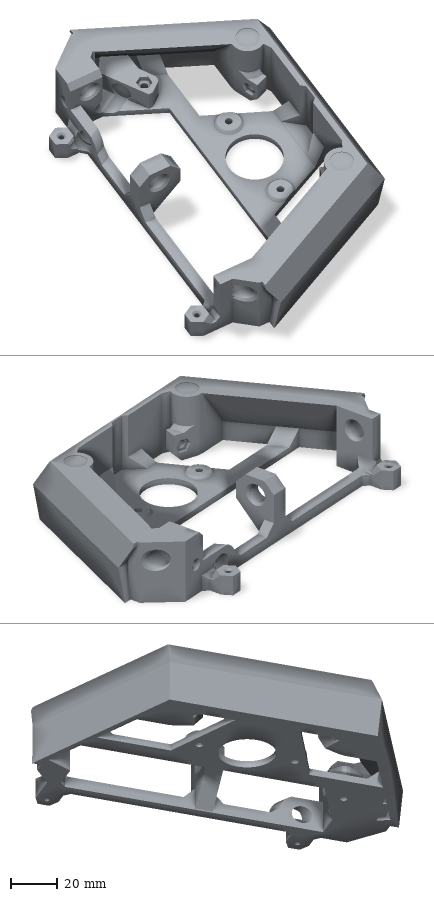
import cadquery as cq
import math

HEIGHT = 30.0
OVERLAP = 1.7
RIDGE_Z = 16.8
RIDGE_HALF_WIDTH = 85.0
RIDGE_BACK_Y = 96.6
RIDGE_FRONT_Y = 23.0
RIDGE_BACK_HALF_WIDTH = 48.7
TOP_SHIFT_Y = 7.7
TOP_INSET_X = 1.9
BOTTOM_SHIFT_Y = 2.9
BOTTOM_INSET_X = 0.9
ARM_END_Y = 16.5
ARM_ANGLE = math.atan2(RIDGE_HALF_WIDTH - RIDGE_BACK_HALF_WIDTH, RIDGE_BACK_Y - RIDGE_FRONT_Y)

BACK_WALL_Y = 86.0
BACK_WALL_END = (30.0, BACK_WALL_Y)
BACK_BEVEL_END = (33.7, 84.2)
CORNER_WALL_Y = 72.3
ARM_INNER_X = 40.3
ARM_INNER_FRONT_Y = 19.4
INNER_BEVEL = 0.9
LEFT_ARM_FRONT_Y = 21.8
LEFT_POCKET_CORNER = (-67.4, 18.7)
LEFT_POCKET_X = -65.0
UNDERCUT_DEPTH = 13.3
UNDERCUT_Z = 9.4
RAMP_TOP_Z = 9.4

BLOCK_SIDE_X = 80.1
BLOCK_SIDE_Y = 15.1
BLOCK_SIDE_BACK_Y = 21.3
BLOCK_BACK_X = 78.3
BLOCK_BACK_Y = 23.8
LEFT_BLOCK_INNER_X = -54.8
LEFT_BLOCK_BACK_Y = 16.2
LEFT_BLOCK_OUTER_X = -67.5
LEFT_BLOCK_CHAMFER = 2.7
RIGHT_BLOCK_INNER_X = 66.5
RIGHT_BLOCK_OUTER_X = 72.3
RIGHT_BLOCK_OUTER_Y = 6.3
RAIL_DEPTH = 5.1
RAIL_Z = 5.3

BOSS_X = 40.0
BOSS_Y = 80.1
BOSS_RADIUS = 7.7
BOSS_DISC_RADIUS = 5.3
BOSS_DISC_DEPTH = 0.3
NUB_ANGLE = 20.7
NUB_REACH = 11.5
NUB_SIDE_NEAR = 1.2
NUB_SIDE_FAR = BOSS_RADIUS
NUB_Z = 13.5
NUB_CHAMFER = 3.9
NUB_COLLAR = 2.0
NUB_HOLE_REACH = 6.8
NUB_HOLE_Z = 7.1
NUB_HOLE_RADIUS = 2.0
NUB_NUT_RADIUS = 3.5
NUB_NUT_DEPTH = 1.7

PLATE_Z = 3.0
CROSSBAR_FRONT_Y = 42.2
CROSSBAR_BACK_Y = 51.2
PLATE_BACK_HALF_WIDTH = 15.0
PLATE_FRONT_HALF_WIDTH = 31.8
PLATE_HOLE_Y = 60.0
PLATE_HOLE_RADIUS = 12.6
SCREW_X = 22.0
SCREW_BOSS_RADIUS = 5.3
SCREW_BOSS_HEIGHT = 1.2
SCREW_HOLE_RADIUS = 1.7
NOTCH_BACK_Y = 88.1
NOTCH_BACK_HALF_WIDTH = 3.7
NOTCH_FRONT_Y = 80.0
NOTCH_FRONT_HALF_WIDTH = 11.0

POST_HALF_WIDTH = 4.0
POST_DEPTH = 20.4
POST_TOP_Z = 29.3
POST_CHAMFER = 5.1
POST_UNDERSIDE_Z = 15.8
POST_GUSSET = 5.1
ROD_Y = 9.9
ROD_Z = 21.0
ROD_RADIUS = 4.3
ROD_CHAMFER = 1.0

SLANT_ANGLE = 30.0
SLANT_X = -42.2
SLANT_Z = 6.8
SLANT_RADIUS = 4.0
SLANT_LEAD = 10.2
SLANT_RIM_RADIUS = 5.1
SLANT_RIM_DEPTH = 2.5
SLANT_GROOVE_RADIUS = 4.8
SLANT_LUG_RADIUS = 9.0
SLANT_LUG_Z = 14.8
SLANT_LUG_END_Z = 8.3
SLANT_LUG_RUN_OUT = 12.5
SLANT_PAD_DISTANCE = 32.8

PAD_Z = 13.0
PAD_FRONT_X = -68.0
PAD_OUTLINE = [
    (-46.3, 34.4), (-46.5, 36.4), (-50.4, 41.5), (-52.0, 42.2), (-53.8, 41.8), (-61.2, 37.8),
    (-74.0, 37.8), (-75.7, 27.2),
]
PAD_HOLE_X = -53.0
PAD_HOLE_Y = 36.0
PAD_HOLE_RADIUS = 1.7
PAD_NUT_RADIUS = 3.5
PAD_NUT_DEPTH = 2.5
GUSSET_ROOT_X = -73.1
GUSSET_BACK_X = -69.7
GUSSET_X = -42.0

PILOT_X = -59.9
PILOT_Z = 15.0
PILOT_RADIUS = 1.62
PILOT_RIM = 1.28

LUG_APOTHEM = 4.6
LUG_HALF_WIDTH = 5.3
LUG_FRONT_Y = -13.1
LUG_Y = LUG_FRONT_Y + LUG_APOTHEM
LEFT_LUG_X = -48.0
RIGHT_LUG_X = RIGHT_BLOCK_OUTER_X - LUG_HALF_WIDTH
LUG_TOP_Z = 9.5
LUG_NECK_Z = 5.8
LUG_SKIRT = 2.0
LUG_FLARE = 2.5
LUG_WEDGE = 2.0
LUG_HOLE_RADIUS = 1.2
LUG_HOLE_RIM = 0.9
FILLET_BACK_Y = 8.0
FILLET_RADIUS = 4.6


def prism(points, z_low, z_high):
    return cq.Workplane("XY").workplane(offset=z_low).polyline(points).close().extrude(z_high - z_low)


def cylinder(x, y, radius, z_low, z_high):
    return cq.Workplane("XY").workplane(offset=z_low).center(x, y).circle(radius).extrude(z_high - z_low)


def box(x_low, x_high, y_low, y_high, z_low, z_high):
    size = (x_high - x_low, y_high - y_low, z_high - z_low)
    return cq.Workplane("XY").box(*size, centered=False).translate((x_low, y_low, z_low))


def rod(plane, radius, length, end_radius=None):
    start = cq.Workplane(plane).circle(radius)
    if end_radius is None:
        return start.extrude(length)
    return start.workplane(offset=length).circle(end_radius).loft(ruled=True)


def mirror_x(shape):
    return shape.mirror("YZ")


def arm_x(start_x, start_y, y):
    """X, on the right arm, of a line through the start point and parallel to the arm."""
    return start_x + (start_y - y) * math.tan(ARM_ANGLE)


def outline(shift_y, inset_x):
    """The widest outline, moved forward by shift_y with its sides drawn in by inset_x."""
    back = RIDGE_BACK_HALF_WIDTH - inset_x
    front = RIDGE_HALF_WIDTH - inset_x
    back_y = RIDGE_BACK_Y - shift_y
    front_y = RIDGE_FRONT_Y - shift_y
    return [(-back, back_y), (back, back_y), (front, front_y), (-front, front_y)]


def frame_half(z, shift_y, inset_x):
    """Half of the ridged frame, from the ridge up or down to height z."""
    ridge = cq.Workplane("XY").workplane(offset=RIDGE_Z).polyline(outline(0, 0)).close()
    far = ridge.workplane(offset=z - RIDGE_Z).polyline(outline(shift_y, inset_x)).close()
    return far.loft(ruled=True)


def outer_frame():
    arms = box(-RIDGE_HALF_WIDTH, RIDGE_HALF_WIDTH, ARM_END_Y, RIDGE_BACK_Y, 0, HEIGHT)
    left_block = [
        (-BLOCK_SIDE_X, BLOCK_SIDE_Y), (LEFT_BLOCK_OUTER_X, 0), (LEFT_BLOCK_INNER_X, 0),
        (LEFT_BLOCK_INNER_X, BLOCK_BACK_Y), (-BLOCK_BACK_X, BLOCK_BACK_Y), (-BLOCK_SIDE_X, BLOCK_SIDE_BACK_Y),
    ]
    right_block = [
        (BLOCK_SIDE_X, BLOCK_SIDE_Y), (RIGHT_BLOCK_OUTER_X, RIGHT_BLOCK_OUTER_Y), (RIGHT_BLOCK_OUTER_X, 0),
        (RIGHT_BLOCK_INNER_X, 0), (RIGHT_BLOCK_INNER_X, BLOCK_BACK_Y), (BLOCK_BACK_X, BLOCK_BACK_Y),
        (BLOCK_SIDE_X, BLOCK_SIDE_BACK_Y),
    ]
    blocks = prism(left_block, 0, HEIGHT).union(prism(right_block, 0, HEIGHT))
    upper = frame_half(HEIGHT, TOP_SHIFT_Y, TOP_INSET_X)
    lower = frame_half(0, BOTTOM_SHIFT_Y, BOTTOM_INSET_X)
    return upper.union(lower).intersect(arms).union(blocks)


def opening():
    back_corner = [BACK_WALL_END, BACK_BEVEL_END, (BOSS_X, BOSS_Y), (ARM_INNER_X, CORNER_WALL_Y)]
    right = back_corner + [
        (arm_x(ARM_INNER_X, CORNER_WALL_Y, ARM_INNER_FRONT_Y), ARM_INNER_FRONT_Y),
        (RIGHT_BLOCK_INNER_X, ARM_INNER_FRONT_Y - INNER_BEVEL),
        (RIGHT_BLOCK_INNER_X, 0),
    ]
    left = [
        (LEFT_BLOCK_INNER_X, 0), (LEFT_BLOCK_INNER_X, LEFT_BLOCK_BACK_Y),
        (LEFT_POCKET_X, LEFT_BLOCK_BACK_Y), LEFT_POCKET_CORNER,
        (-arm_x(ARM_INNER_X, CORNER_WALL_Y, LEFT_ARM_FRONT_Y), LEFT_ARM_FRONT_Y),
    ]
    left += [(-x, y) for x, y in reversed(back_corner)]
    return prism(right + left, 0, HEIGHT)


def along_right_arm(profile):
    """Extrudes a profile of (distance outward from the inner top edge, z) along the right arm.

    It starts behind the corner wall and ends square to the arm at the arm's inner front corner.
    """
    outward = (math.cos(ARM_ANGLE), math.sin(ARM_ANGLE), 0)
    forward = (math.sin(ARM_ANGLE), -math.cos(ARM_ANGLE), 0)
    length = (CORNER_WALL_Y - ARM_INNER_FRONT_Y) / math.cos(ARM_ANGLE)
    lead = UNDERCUT_DEPTH
    start = (ARM_INNER_X - lead * forward[0], CORNER_WALL_Y - lead * forward[1], 0)
    plane = cq.Plane(origin=start, xDir=outward, normal=forward)
    return cq.Workplane(plane).polyline(profile).close().extrude(length + lead)


def arm_undercut():
    profile = [
        (0, HEIGHT), (UNDERCUT_DEPTH, UNDERCUT_Z), (UNDERCUT_DEPTH, 0), (-OVERLAP, 0), (-OVERLAP, HEIGHT),
    ]
    return along_right_arm(profile).intersect(box(0, RIDGE_HALF_WIDTH, 0, CORNER_WALL_Y, 0, HEIGHT))


def arm_ramp():
    run = RAMP_TOP_Z - PLATE_Z
    profile = [
        (UNDERCUT_DEPTH - run, 0), (UNDERCUT_DEPTH - run, PLATE_Z),
        (UNDERCUT_DEPTH, RAMP_TOP_Z), (UNDERCUT_DEPTH + OVERLAP, RAMP_TOP_Z), (UNDERCUT_DEPTH + OVERLAP, 0),
    ]
    span = box(0, RIDGE_HALF_WIDTH, CROSSBAR_FRONT_Y, CROSSBAR_BACK_Y, 0, HEIGHT)
    return along_right_arm(profile).intersect(span)


def corner_boss():
    return cylinder(BOSS_X, BOSS_Y, BOSS_RADIUS, 0, HEIGHT)


def nub_direction():
    angle = math.radians(180 - NUB_ANGLE)
    return math.cos(angle), math.sin(angle)


def nub_plane(side):
    """Plane across the nub: local x along its reach, local y up, set off sideways to the front."""
    dx, dy = nub_direction()
    origin = (BOSS_X - side * dy, BOSS_Y + side * dx, 0)
    return cq.Plane(origin=origin, xDir=(dx, dy, 0), normal=(dy, -dx, 0))


def nub():
    width = NUB_SIDE_FAR - NUB_SIDE_NEAR
    profile = [
        (0, 0), (NUB_REACH - NUB_CHAMFER, 0), (NUB_REACH, NUB_CHAMFER), (NUB_REACH, HEIGHT), (0, HEIGHT),
    ]
    block = cq.Workplane(nub_plane(NUB_SIDE_FAR)).polyline(profile).close().extrude(width)
    low = block.intersect(box(0, RIDGE_HALF_WIDTH, 0, RIDGE_BACK_Y, 0, NUB_Z))
    collar_plane = cq.Plane(origin=(BOSS_X, BOSS_Y, NUB_Z))
    collar = rod(collar_plane, BOSS_RADIUS + NUB_COLLAR, NUB_COLLAR, BOSS_RADIUS)
    return low.union(collar.intersect(block))


def nub_hole():
    face = cq.Workplane(nub_plane(NUB_SIDE_FAR)).center(NUB_HOLE_REACH, NUB_HOLE_Z)
    hole = face.circle(NUB_HOLE_RADIUS).extrude(NUB_SIDE_FAR)
    return hole.union(face.polygon(6, 2 * NUB_NUT_RADIUS).extrude(NUB_NUT_DEPTH))


def plate():
    trapezoid = [
        (-PLATE_BACK_HALF_WIDTH, BACK_WALL_Y), (PLATE_BACK_HALF_WIDTH, BACK_WALL_Y),
        (PLATE_FRONT_HALF_WIDTH, CROSSBAR_BACK_Y), (PLATE_FRONT_HALF_WIDTH, CROSSBAR_FRONT_Y),
        (-PLATE_FRONT_HALF_WIDTH, CROSSBAR_FRONT_Y), (-PLATE_FRONT_HALF_WIDTH, CROSSBAR_BACK_Y),
    ]
    slab = prism(trapezoid, 0, PLATE_Z)
    bar_end = arm_x(ARM_INNER_X, CORNER_WALL_Y, CROSSBAR_BACK_Y) + UNDERCUT_DEPTH
    slab = slab.union(box(-bar_end, bar_end, CROSSBAR_FRONT_Y, CROSSBAR_BACK_Y, 0, PLATE_Z))
    ramp_profile = [
        (BACK_WALL_Y, 0), (BACK_WALL_Y, RAMP_TOP_Z),
        (BACK_WALL_Y - (RAMP_TOP_Z - PLATE_Z), PLATE_Z), (BACK_WALL_Y - RAMP_TOP_Z, 0),
    ]
    ramp = cq.Workplane("YZ").polyline(ramp_profile).close().extrude(PLATE_FRONT_HALF_WIDTH, both=True)
    slab = slab.union(ramp.intersect(prism(trapezoid, 0, RAMP_TOP_Z)))
    for x in (-SCREW_X, SCREW_X):
        plane = cq.Plane(origin=(x, PLATE_HOLE_Y, PLATE_Z))
        base_radius = SCREW_BOSS_RADIUS + SCREW_BOSS_HEIGHT
        boss = rod(plane, base_radius, SCREW_BOSS_HEIGHT, SCREW_BOSS_RADIUS)
        slab = slab.union(boss.intersect(prism(trapezoid, 0, HEIGHT)))
        slab = slab.cut(cylinder(x, PLATE_HOLE_Y, SCREW_HOLE_RADIUS, 0, HEIGHT))
    return slab.cut(cylinder(0, PLATE_HOLE_Y, PLATE_HOLE_RADIUS, 0, HEIGHT))


def wall_notch():
    points = [
        (-NOTCH_BACK_HALF_WIDTH, NOTCH_BACK_Y), (NOTCH_BACK_HALF_WIDTH, NOTCH_BACK_Y),
        (NOTCH_FRONT_HALF_WIDTH, NOTCH_FRONT_Y), (-NOTCH_FRONT_HALF_WIDTH, NOTCH_FRONT_Y),
    ]
    return prism(points, PLATE_Z, HEIGHT)


def rail():
    return box(LEFT_BLOCK_INNER_X, RIGHT_BLOCK_INNER_X, 0, RAIL_DEPTH, 0, RAIL_Z)


def middle_post():
    profile = [
        (0, 0), (0, POST_TOP_Z - POST_CHAMFER), (POST_CHAMFER, POST_TOP_Z),
        (POST_DEPTH - POST_CHAMFER, POST_TOP_Z), (POST_DEPTH, POST_TOP_Z - POST_CHAMFER),
        (POST_DEPTH, POST_UNDERSIDE_Z), (POST_DEPTH - POST_UNDERSIDE_Z, 0),
    ]
    post = cq.Workplane("YZ").polyline(profile).close().extrude(POST_HALF_WIDTH, both=True)
    foot = POST_HALF_WIDTH + POST_GUSSET
    gusset_profile = [
        (-foot, 0), (foot, 0), (foot, RAIL_Z), (POST_HALF_WIDTH, RAIL_Z + POST_GUSSET),
        (-POST_HALF_WIDTH, RAIL_Z + POST_GUSSET), (-foot, RAIL_Z),
    ]
    gusset = cq.Workplane("XZ").polyline(gusset_profile).close().extrude(-RAIL_DEPTH)
    return post.union(gusset)


def slant_plane(distance, z):
    """Plane square to the slanted screw, its normal pointing inward along the screw."""
    angle = math.radians(SLANT_ANGLE)
    inward = (-math.sin(angle), math.cos(angle), 0)
    origin = (SLANT_X + distance * inward[0], distance * inward[1], z)
    return cq.Plane(origin=origin, xDir=(-math.cos(angle), -math.sin(angle), 0), normal=inward)


def lug_rim_point(z):
    """Point at height z on the slanted lug's rounded end."""
    return -math.sqrt(SLANT_LUG_RADIUS**2 - (z - SLANT_Z)**2), z


def slant_lug():
    lug_body = (
        cq.Workplane(slant_plane(-SLANT_PAD_DISTANCE, 0))
        .moveTo(SLANT_PAD_DISTANCE, 0).lineTo(SLANT_PAD_DISTANCE, SLANT_LUG_Z)
        .lineTo(*lug_rim_point(SLANT_LUG_Z))
        .threePointArc(lug_rim_point(SLANT_Z + SLANT_LUG_RADIUS / 2), lug_rim_point(SLANT_LUG_END_Z))
        .lineTo(-SLANT_LUG_RUN_OUT, RAIL_Z).lineTo(-SLANT_LUG_RUN_OUT, 0).close()
        .extrude(2 * SLANT_PAD_DISTANCE)
    )
    return lug_body.intersect(box(LEFT_BLOCK_INNER_X, 0, 0, RAIL_DEPTH, 0, HEIGHT))


def slant_bore():
    bore = rod(slant_plane(-SLANT_LEAD, SLANT_Z), SLANT_RADIUS, SLANT_PAD_DISTANCE + SLANT_LEAD)
    groove = rod(slant_plane(SLANT_LEAD, SLANT_Z), SLANT_GROOVE_RADIUS, SLANT_PAD_DISTANCE - SLANT_LEAD)
    rim = rod(slant_plane(-SLANT_RIM_DEPTH, SLANT_Z), SLANT_RIM_RADIUS, 2 * SLANT_RIM_DEPTH)
    return bore.union(groove).union(rim)


def arm_gusset():
    inner_front_x = -arm_x(-GUSSET_X, CROSSBAR_FRONT_Y, LEFT_BLOCK_BACK_Y)
    points = [
        (GUSSET_X, CROSSBAR_FRONT_Y), (inner_front_x, LEFT_BLOCK_BACK_Y), (GUSSET_ROOT_X, LEFT_BLOCK_BACK_Y),
        (GUSSET_ROOT_X, LEFT_ARM_FRONT_Y), (GUSSET_BACK_X, CROSSBAR_FRONT_Y),
    ]
    return prism(points, 0, PLATE_Z)


def arm_pad():
    nose_x, nose_y = PAD_OUTLINE[0]
    front_y = nose_y - math.tan(math.radians(SLANT_ANGLE)) * (nose_x - PAD_FRONT_X)
    points = PAD_OUTLINE + [(PAD_FRONT_X, front_y)]
    pad = prism(points, 0, PAD_Z)
    nut = cq.Workplane("XY").workplane(offset=PAD_Z - PAD_NUT_DEPTH).center(PAD_HOLE_X, PAD_HOLE_Y)
    nut = nut.polygon(6, 2 * PAD_NUT_RADIUS).extrude(PAD_NUT_DEPTH)
    return pad.cut(nut)


def lug(x):
    circumscribed = 2 * LUG_APOTHEM / math.cos(math.pi / 6)
    skirt = LUG_TOP_Z - LUG_NECK_Z
    skirt_size = 2 * (LUG_APOTHEM + LUG_SKIRT) / math.cos(math.pi / 6)
    hexagon = cq.Workplane("XY").center(x, LUG_Y).polygon(6, circumscribed).extrude(LUG_TOP_Z)
    neck_plan = [
        (x - LUG_HALF_WIDTH, LUG_Y), (x + LUG_HALF_WIDTH, LUG_Y),
        (x + LUG_HALF_WIDTH, 0), (x - LUG_HALF_WIDTH, 0),
    ]
    cone = (
        cq.Workplane("XY").workplane(offset=LUG_NECK_Z).center(x, LUG_Y).polygon(6, skirt_size)
        .workplane(offset=skirt).polygon(6, circumscribed).loft(ruled=True)
    )
    neck = prism(neck_plan, 0, LUG_NECK_Z).union(cone.intersect(prism(neck_plan, 0, HEIGHT)))
    return hexagon.union(neck)


def lug_flare(plan):
    """Foot of a lug against the front face, its top sloping down to the neck."""
    top = LUG_NECK_Z + LUG_WEDGE
    profile = [(0, 0), (0, top), (-LUG_WEDGE, LUG_NECK_Z), (-LUG_FLARE, LUG_NECK_Z), (-LUG_FLARE, 0)]
    wedge = cq.Workplane("YZ").polyline(profile).close().extrude(RIDGE_HALF_WIDTH, both=True)
    return wedge.intersect(prism(plan, 0, HEIGHT))


def lug_hole(x):
    rim_radius = LUG_HOLE_RADIUS + LUG_HOLE_RIM
    rim_plane = cq.Plane(origin=(x, LUG_Y, LUG_TOP_Z - LUG_HOLE_RIM))
    rim = rod(rim_plane, LUG_HOLE_RADIUS, LUG_HOLE_RIM, rim_radius)
    return cylinder(x, LUG_Y, LUG_HOLE_RADIUS, 0, LUG_TOP_Z).union(rim)


def rail_fillet():
    low_x = RIGHT_BLOCK_INNER_X - FILLET_RADIUS
    high_z = RAIL_Z + FILLET_RADIUS
    diagonal = FILLET_RADIUS * math.sqrt(0.5)
    profile = (
        cq.Workplane("XZ").moveTo(low_x, 0).lineTo(low_x, RAIL_Z)
        .threePointArc((low_x + diagonal, high_z - diagonal), (RIGHT_BLOCK_INNER_X, high_z))
        .lineTo(RIGHT_BLOCK_INNER_X, 0).close()
    )
    plan = [
        (low_x, -LUG_WEDGE), (RIGHT_BLOCK_INNER_X, -LUG_WEDGE), (RIGHT_BLOCK_INNER_X, FILLET_BACK_Y),
        (RIGHT_BLOCK_INNER_X - (FILLET_BACK_Y - RAIL_DEPTH), RAIL_DEPTH), (low_x, RAIL_DEPTH),
    ]
    return profile.extrude(LUG_WEDGE + FILLET_BACK_Y, both=True).intersect(prism(plan, 0, HEIGHT))


def rod_bore():
    plane = cq.Plane(origin=(-RIDGE_HALF_WIDTH, ROD_Y, ROD_Z), xDir=(0, 1, 0), normal=(1, 0, 0))
    return rod(plane, ROD_RADIUS, 2 * RIDGE_HALF_WIDTH)


def slope_x(x1, y1, x2, y2):
    """X where a block's slanted face, through two points, meets the rod axis."""
    return x1 + (x2 - x1) * (ROD_Y - y1) / (y2 - y1)


def pilot_hole():
    plane = cq.Plane(origin=(PILOT_X, 0, PILOT_Z), xDir=(1, 0, 0), normal=(0, 1, 0))
    rim = rod(plane, PILOT_RADIUS + PILOT_RIM, PILOT_RIM, PILOT_RADIUS)
    return rod(plane, PILOT_RADIUS, LEFT_BLOCK_BACK_Y).union(rim)


def block_chamfer():
    x = LEFT_BLOCK_INNER_X
    size = LEFT_BLOCK_CHAMFER
    profile = [(x - size, HEIGHT), (x, HEIGHT), (x, HEIGHT - size)]
    return cq.Workplane("XZ").polyline(profile).close().extrude(-LEFT_BLOCK_BACK_Y)


body = outer_frame().cut(opening())
undercut = arm_undercut()
body = body.cut(undercut).cut(mirror_x(undercut))

right_boss = corner_boss().union(nub())
body = body.union(right_boss).union(mirror_x(right_boss))
body = body.cut(nub_hole()).cut(mirror_x(nub_hole()))
disc = cylinder(BOSS_X, BOSS_Y, BOSS_DISC_RADIUS, HEIGHT - BOSS_DISC_DEPTH, HEIGHT)
body = body.cut(disc).cut(mirror_x(disc))

body = body.union(plate()).union(arm_ramp()).union(mirror_x(arm_ramp())).cut(wall_notch())
body = body.union(arm_gusset()).union(arm_pad())
body = body.cut(cylinder(PAD_HOLE_X, PAD_HOLE_Y, PAD_HOLE_RADIUS, 0, PAD_Z))

body = body.union(rail()).union(middle_post()).union(slant_lug()).union(rail_fillet())

left_low = LEFT_LUG_X - LUG_HALF_WIDTH
left_high = LEFT_LUG_X + LUG_HALF_WIDTH
left_foot = [
    (left_low - LUG_FLARE, 0), (left_high + LUG_FLARE, 0), (left_high, -LUG_FLARE), (left_low, -LUG_FLARE),
]
right_low = RIGHT_LUG_X - LUG_HALF_WIDTH
right_foot = [
    (RIGHT_BLOCK_INNER_X, 0), (RIGHT_BLOCK_OUTER_X, 0),
    (RIGHT_BLOCK_OUTER_X, -LUG_FLARE), (RIGHT_BLOCK_INNER_X, -LUG_FLARE),
]
right_flare = prism([(right_low, 0), (right_low - LUG_FLARE, 0), (right_low, -LUG_FLARE)], 0, RAIL_Z)
body = body.union(lug_flare(left_foot)).union(lug_flare(right_foot))
body = body.union(right_flare)
for lug_x in (LEFT_LUG_X, RIGHT_LUG_X):
    body = body.union(lug(lug_x)).cut(lug_hole(lug_x))

body = body.cut(slant_bore()).cut(rod_bore()).cut(pilot_hole()).cut(block_chamfer())

left_mouth_x = slope_x(-BLOCK_SIDE_X, BLOCK_SIDE_Y, LEFT_BLOCK_OUTER_X, 0)
right_mouth_x = slope_x(BLOCK_SIDE_X, BLOCK_SIDE_Y, RIGHT_BLOCK_OUTER_X, RIGHT_BLOCK_OUTER_Y)
inner_mouths = [LEFT_BLOCK_INNER_X, -POST_HALF_WIDTH, POST_HALF_WIDTH, RIGHT_BLOCK_INNER_X]
for mouth_x in [left_mouth_x] + inner_mouths + [right_mouth_x]:
    mouth = cq.selectors.NearestToPointSelector((mouth_x, ROD_Y, ROD_Z))
    body = body.edges("%CIRCLE or %ELLIPSE or %BSPLINE").edges(mouth).chamfer(ROD_CHAMFER)

result = body